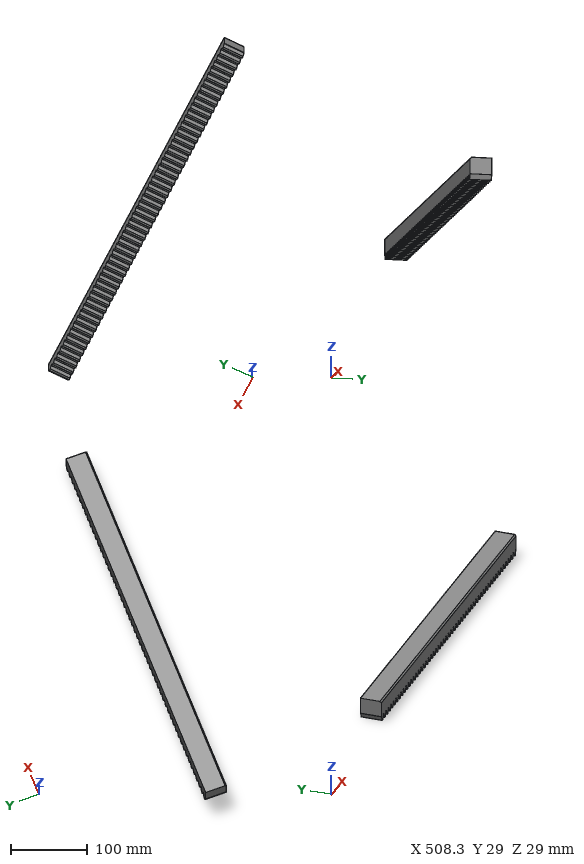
import cadquery as cq
import math

length = 508.29
width = 29.0
height = 29.0
edge_chamfer = 2.0

module = 3.0
pressure_angle = math.radians(20.0)
tooth_count = 54
addendum_factor = 1.0
dedendum_factor = 1.25
pitch = math.pi * module
addendum = addendum_factor * module
dedendum = dedendum_factor * module
root_z = addendum + dedendum

half_width_at_pitch_line = pitch / 4
half_tip = half_width_at_pitch_line - addendum * math.tan(pressure_angle)
half_root = half_width_at_pitch_line + dedendum * math.tan(pressure_angle)

first_tooth_x = (length - (tooth_count - 1) * pitch) / 2


def tooth_points(center_x):
    """Corners of one straight-flanked tooth, from its left root to its right root."""
    return [
        (center_x - half_root, root_z),
        (center_x - half_tip, 0),
        (center_x + half_tip, 0),
        (center_x + half_root, root_z),
    ]


def make_toothed_bar():
    """Side outline of the rack, extruded from the -Y face toward +Y."""
    outline = [(0, height), (0, root_z)]
    for index in range(tooth_count):
        outline += tooth_points(first_tooth_x + index * pitch)
    outline += [(length, root_z), (length, height)]
    return cq.Workplane("XZ").polyline(outline).close().extrude(-width)


def chamfer_upper_edge(bar):
    """Break the long upper edge on the -Y side."""
    return bar.faces(">Z").edges("<Y").chamfer(edge_chamfer)


result = chamfer_upper_edge(make_toothed_bar())